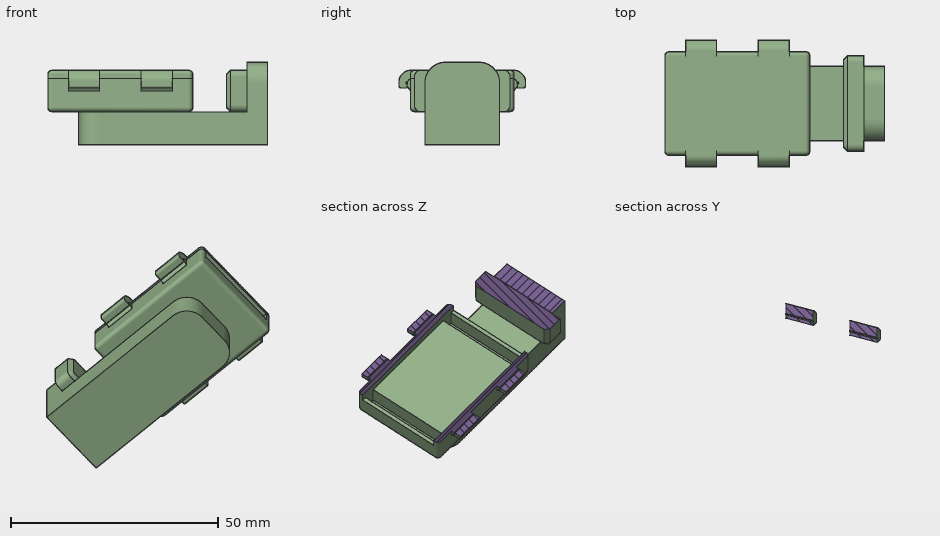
import cadquery as cq

TOTAL_LENGTH = 53.0
TOTAL_WIDTH = 30.55
TOTAL_HEIGHT = 20.0

ARM_START_X = 7.35
ARM_HEIGHT = 8.0
BRACKET_WIDTH = 18.0
UPRIGHT_THICKNESS = 5.0
BRACKET_CORNER_RADIUS = 5.0
UPRIGHT_X = TOTAL_LENGTH - UPRIGHT_THICKNESS
DIMPLE_DIAMETER = 1.25
DIMPLE_TOP_Z = 18.35
DIMPLE_DEPTH = DIMPLE_DIAMETER / 2

CASE_LENGTH = 35.0
CASE_WIDTH = 25.0
CASE_HEIGHT = 10.0
CASE_FILLET = 1.0
CASE_TOP_Z = ARM_HEIGHT + CASE_HEIGHT
LID_THICKNESS = 2.0
SEAM_Z = CASE_TOP_Z - LID_THICKNESS

CHANNEL_WIDTH = 21.95
CHANNEL_DEPTH = 3.0
CHANNEL_FLOOR_Z = SEAM_Z - CHANNEL_DEPTH
SIDE_WALL = (CASE_WIDTH - CHANNEL_WIDTH) / 2
END_WALL = 1.0
WELL_LENGTH = 3.0
WELL_FLOOR_THICKNESS = 0.8
WELL_START_XS = (END_WALL, CASE_LENGTH - END_WALL - WELL_LENGTH)

CLIP_WIDTH = 7.5
CLIP_END_OFFSET = 5.0
CLIP_START_XS = (CLIP_END_OFFSET, CASE_LENGTH - CLIP_END_OFFSET - CLIP_WIDTH)
HOOK_REACH = (TOTAL_WIDTH - CASE_WIDTH) / 2
HOOK_DROP = 4.3
HOOK_CHAMFER = 1.75
HOOK_BLEND_RADIUS = 2.0
HOOK_TIP_FILLET = 0.5
HOOK_ROOT = CASE_FILLET
NOTCH_DEPTH = 1.1
CATCH_REACH = 0.8
CATCH_FACE_BOTTOM_DROP = 3.8
CATCH_DROP = 5.0
CATCH_ROOT = SIDE_WALL / 2
SELECTION_MARGIN = 0.05

PAD_THICKNESS = 5.0
PAD_WIDTH = 23.1
PAD_CORNER_RADIUS = 1.6
PAD_CHAMFER = 1.0


def box_between(x_start, x_end, width, z_start, z_end):
    """Box centred on Y = 0."""
    return (
        cq.Workplane("XY")
        .box(x_end - x_start, width, z_end - z_start, centered=(False, True, False))
        .translate((x_start, 0, z_start))
    )


def clip_prism(points, start_x):
    """Prism along X from (reach beyond the +Y case side, drop below the case top) points."""
    outline = [(CASE_WIDTH / 2 + reach, CASE_TOP_Z - drop) for reach, drop in points]
    return (
        cq.Workplane("YZ", origin=(start_x, 0, 0))
        .polyline(outline)
        .close()
        .extrude(CLIP_WIDTH)
    )


def on_both_sides(body):
    """The body together with its mirror image across Y = 0."""
    return body.union(body.mirror("XZ"))


def make_bracket():
    arm = box_between(ARM_START_X, TOTAL_LENGTH, BRACKET_WIDTH, 0, ARM_HEIGHT)
    arm = arm.edges("|Z and <X").fillet(BRACKET_CORNER_RADIUS)
    upright = box_between(UPRIGHT_X, TOTAL_LENGTH, BRACKET_WIDTH, 0, TOTAL_HEIGHT)
    upright = upright.edges("|X and >Z").fillet(BRACKET_CORNER_RADIUS)
    dimple = cq.Solid.makeCone(
        DIMPLE_DIAMETER / 2,
        0,
        DIMPLE_DEPTH,
        pnt=cq.Vector(UPRIGHT_X, 0, DIMPLE_TOP_Z - DIMPLE_DIAMETER / 2),
        dir=cq.Vector(1, 0, 0),
    )
    return arm.union(upright).cut(cq.Workplane(dimple))


def make_pad():
    pad = box_between(UPRIGHT_X - PAD_THICKNESS, UPRIGHT_X, PAD_WIDTH, ARM_HEIGHT, CASE_TOP_Z)
    pad = pad.edges("|X").fillet(PAD_CORNER_RADIUS)
    return pad.faces("<X").edges().chamfer(PAD_CHAMFER)


def make_catch(start_x):
    points = [
        (-CATCH_ROOT, LID_THICKNESS),
        (0, LID_THICKNESS),
        (CATCH_REACH, LID_THICKNESS + CATCH_REACH),
        (CATCH_REACH, CATCH_FACE_BOTTOM_DROP),
        (0, CATCH_DROP),
        (-CATCH_ROOT, CATCH_DROP),
    ]
    return on_both_sides(clip_prism(points, start_x))


def make_tray():
    tray = box_between(0, CASE_LENGTH, CASE_WIDTH, ARM_HEIGHT, SEAM_Z)
    tray = tray.edges("|Z or <Z").fillet(CASE_FILLET)
    channel = box_between(0, CASE_LENGTH, CHANNEL_WIDTH, CHANNEL_FLOOR_Z, SEAM_Z)
    tray = tray.cut(channel)
    well_floor_z = ARM_HEIGHT + WELL_FLOOR_THICKNESS
    for start_x in WELL_START_XS:
        well = box_between(start_x, start_x + WELL_LENGTH, CHANNEL_WIDTH, well_floor_z, SEAM_Z)
        tray = tray.cut(well)
    for start_x in CLIP_START_XS:
        tray = tray.union(make_catch(start_x))
    return tray


def make_hook(start_x):
    notch_tip_drop = LID_THICKNESS + NOTCH_DEPTH
    notch_end_drop = notch_tip_drop + NOTCH_DEPTH - CATCH_REACH
    points = [
        (-HOOK_ROOT, 0),
        (HOOK_REACH - HOOK_CHAMFER, 0),
        (HOOK_REACH, HOOK_CHAMFER),
        (HOOK_REACH, HOOK_DROP),
        (CATCH_REACH, HOOK_DROP),
        (CATCH_REACH, notch_end_drop),
        (NOTCH_DEPTH, notch_tip_drop),
        (0, LID_THICKNESS),
        (-HOOK_ROOT, LID_THICKNESS),
    ]
    hook = clip_prism(points, start_x)
    slope_ends = cq.selectors.BoxSelector(
        (start_x, CASE_WIDTH / 2, CASE_TOP_Z - HOOK_CHAMFER - SELECTION_MARGIN),
        (start_x + CLIP_WIDTH, TOTAL_WIDTH / 2 + SELECTION_MARGIN, CASE_TOP_Z + SELECTION_MARGIN),
    )
    hook = hook.edges("|X").edges(slope_ends).fillet(HOOK_BLEND_RADIUS)
    hook = hook.faces("<Z").edges(">Y").fillet(HOOK_TIP_FILLET)
    return on_both_sides(hook)


def make_lid():
    lid = box_between(0, CASE_LENGTH, CASE_WIDTH, SEAM_Z, CASE_TOP_Z)
    lid = lid.edges("|Z or >Z").fillet(CASE_FILLET)
    for start_x in CLIP_START_XS:
        lid = lid.union(make_hook(start_x))
    return lid


bracket = make_bracket()
pad = make_pad()
tray = make_tray()
lid = make_lid()

bodies = [bracket, pad, tray, lid]
result = cq.Compound.makeCompound([body.solids().val() for body in bodies])